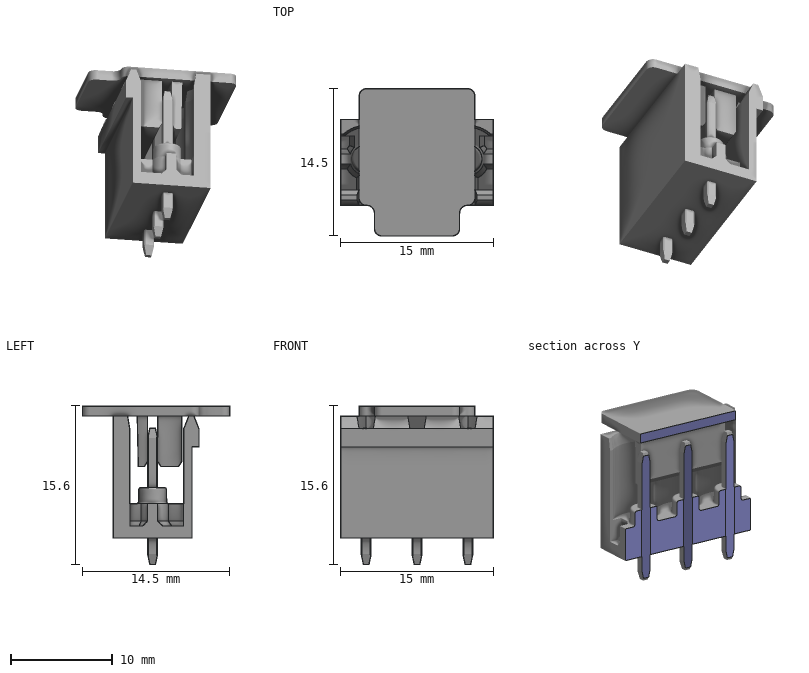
import cadquery as cq


PIN_COUNT = 3
PITCH = 5.0
PIN_XS = [(i - (PIN_COUNT - 1) / 2) * PITCH for i in range(PIN_COUNT)]

PIN_WIDTH = 1.0
PIN_EDGE_CHAMFER = 0.11
PIN_TIP_WIDTH = 0.56
PIN_TIP_LENGTH = 1.01
PIN_BOTTOM = -2.59
PIN_TOP = 10.83

HOUSING_LENGTH = PIN_COUNT * PITCH
HALF_LENGTH = HOUSING_LENGTH / 2
HOUSING_DEPTH = 7.79
HOUSING_HEIGHT = 12.0
BACK_Y = HOUSING_DEPTH / 2
FRONT_Y = -HOUSING_DEPTH / 2
FLOOR_Z = 1.2
BACK_INNER_Y = 2.25
FRONT_INNER_Y = -3.05

LEAD_IN_DEPTH = 1.23
LEAD_IN_Z = HOUSING_HEIGHT - LEAD_IN_DEPTH
BACK_LEAD_IN = 0.2
FRONT_LEAD_IN = 0.48

LIP_Y = -4.56
LIP_SLOPE = 0.5
LIP_BOTTOM = 8.99

RAISED_Z = 3.4
FOOT = 0.48
BACK_POCKET_LENGTH = 1.34
FRONT_POCKET_LENGTH = 2.01
RIB_WIDTH = 1.0
PEDESTAL_RADIUS = 1.62

COLLAR_TOP = 4.99
COLLAR_LOWER_RADIUS = 1.4
COLLAR_UPPER_RADIUS = 1.37
COLLAR_FLARE_RADIUS = 0.19
COLLAR_TOP_FILLET = 0.23

RECESS_RADIUS = 3.1
NOTCH_TOP_WIDTH = 1.8
NOTCH_BOTTOM_WIDTH = 1.4

CAP_WIDTH = 11.39
CAP_LENGTH = 14.5
CAP_THICKNESS = 1.0
CAP_BACK_Y = 6.92
CAP_FRONT_Y = CAP_BACK_Y - CAP_LENGTH
CAP_SHOULDER_Y = -4.58
CAP_RADIUS = 0.75

LEG_LENGTH = (PIN_COUNT - 1) * PITCH
LEG_BOTTOM = 7.04
LEG_INNER_Y = PIN_WIDTH / 2
BACK_LEG_TOP_Y = 1.53
BACK_LEG_BOTTOM_Y = 1.42
FRONT_LEG_Y = -2.87
LEG_CHAMFER_WIDTH = 0.31
LEG_CHAMFER_HEIGHT = 0.5


def prism_along_x(points, length):
    """Extrude a (Y, Z) outline along X, centred on X = 0."""
    return cq.Workplane("YZ").polyline(points).close().extrude(length / 2, both=True)


def make_pin(x):
    """One pin with chamfered edges, tapered at both ends."""
    length = PIN_TOP - PIN_BOTTOM
    bar = (
        cq.Workplane("XY")
        .workplane(offset=PIN_BOTTOM)
        .rect(PIN_WIDTH, PIN_WIDTH)
        .extrude(length)
        .edges("|Z")
        .chamfer(PIN_EDGE_CHAMFER)
    )
    half = PIN_WIDTH / 2
    tip_half = PIN_TIP_WIDTH / 2
    side = [
        (-tip_half, PIN_BOTTOM),
        (tip_half, PIN_BOTTOM),
        (half, PIN_BOTTOM + PIN_TIP_LENGTH),
        (half, PIN_TOP - PIN_TIP_LENGTH),
        (tip_half, PIN_TOP),
        (-tip_half, PIN_TOP),
        (-half, PIN_TOP - PIN_TIP_LENGTH),
        (-half, PIN_BOTTOM + PIN_TIP_LENGTH),
    ]
    for plane in ("XZ", "YZ"):
        taper = cq.Workplane(plane).polyline(side).close().extrude(PIN_WIDTH, both=True)
        bar = bar.intersect(taper)
    return bar.translate((x, 0, 0))


def make_trough():
    """U-shaped housing with the latch lip, constant along X."""
    return prism_along_x(
        [
            (BACK_Y, 0),
            (BACK_Y, HOUSING_HEIGHT),
            (BACK_INNER_Y + BACK_LEAD_IN, HOUSING_HEIGHT),
            (BACK_INNER_Y, LEAD_IN_Z),
            (BACK_INNER_Y, FLOOR_Z),
            (FRONT_INNER_Y, FLOOR_Z),
            (FRONT_INNER_Y, LEAD_IN_Z),
            (FRONT_INNER_Y - FRONT_LEAD_IN, HOUSING_HEIGHT),
            (LIP_Y + LIP_SLOPE, HOUSING_HEIGHT),
            (LIP_Y, LEAD_IN_Z),
            (LIP_Y, LIP_BOTTOM),
            (FRONT_Y, LIP_BOTTOM),
            (FRONT_Y, 0),
        ],
        HOUSING_LENGTH,
    )


def footed_profile(half_width):
    """Upright section of the raised floor, spreading at 45 degrees into a foot."""
    return [
        (-half_width, RAISED_Z),
        (-half_width, FLOOR_Z + FOOT),
        (-half_width - FOOT, FLOOR_Z),
        (half_width + FOOT, FLOOR_Z),
        (half_width, FLOOR_Z + FOOT),
        (half_width, RAISED_Z),
    ]


def make_floor_block(pocket_length, wall_y):
    """Raised floor from the pin row to a side wall, stopping short of the open ends."""
    profile = footed_profile(HALF_LENGTH - pocket_length)
    return cq.Workplane("XZ").polyline(profile).close().extrude(-wall_y)


def make_rib():
    """Rib along the pin row that reaches both open ends."""
    return prism_along_x(footed_profile(RIB_WIDTH / 2), HOUSING_LENGTH)


def make_pedestal(x):
    """Round part of the raised floor below a pin's collar."""
    profile = [
        (0, FLOOR_Z),
        (PEDESTAL_RADIUS + FOOT, FLOOR_Z),
        (PEDESTAL_RADIUS, FLOOR_Z + FOOT),
        (PEDESTAL_RADIUS, RAISED_Z),
        (0, RAISED_Z),
    ]
    pedestal = cq.Workplane("XZ").polyline(profile).close().revolve(360, (0, 0), (0, 1))
    return pedestal.translate((x, 0, 0))


def make_collar(x):
    """Collar round a pin: flared base, slight draft and rounded top edge."""
    collar = (
        cq.Workplane("XZ")
        .moveTo(0, RAISED_Z)
        .lineTo(COLLAR_LOWER_RADIUS + COLLAR_FLARE_RADIUS, RAISED_Z)
        .radiusArc((COLLAR_LOWER_RADIUS, RAISED_Z + COLLAR_FLARE_RADIUS), COLLAR_FLARE_RADIUS)
        .lineTo(COLLAR_UPPER_RADIUS, COLLAR_TOP)
        .lineTo(0, COLLAR_TOP)
        .close()
        .revolve(360, (0, 0), (0, 1))
        .faces(">Z")
        .edges()
        .fillet(COLLAR_TOP_FILLET)
    )
    return collar.translate((x, 0, 0))


def make_recess(x):
    """Half-round cutter for the back wall, widening along the lead-in."""
    profile = [
        (0, RAISED_Z),
        (RECESS_RADIUS, RAISED_Z),
        (RECESS_RADIUS, LEAD_IN_Z),
        (RECESS_RADIUS + BACK_LEAD_IN, HOUSING_HEIGHT),
        (0, HOUSING_HEIGHT),
    ]
    cone = cq.Workplane("XZ").polyline(profile).close().revolve(360, (0, 0), (0, 1))
    back_half = cq.Workplane("XY").box(
        HOUSING_LENGTH, BACK_Y, HOUSING_HEIGHT, centered=(True, False, False)
    )
    return cone.intersect(back_half).translate((x, 0, 0))


def make_notch(x):
    """Tapered cutter through the top of the front wall."""
    profile = [
        (x - NOTCH_BOTTOM_WIDTH / 2, LEAD_IN_Z),
        (x + NOTCH_BOTTOM_WIDTH / 2, LEAD_IN_Z),
        (x + NOTCH_TOP_WIDTH / 2, HOUSING_HEIGHT),
        (x - NOTCH_TOP_WIDTH / 2, HOUSING_HEIGHT),
    ]
    return cq.Workplane("XZ").polyline(profile).close().extrude(-LIP_Y)


def make_housing(pins):
    """Housing with its raised floor, collars, recesses, notches and pin holes."""
    housing = make_trough()
    housing = housing.union(make_floor_block(BACK_POCKET_LENGTH, BACK_INNER_Y))
    housing = housing.union(make_floor_block(FRONT_POCKET_LENGTH, FRONT_INNER_Y))
    housing = housing.union(make_rib())
    for x in PIN_XS:
        housing = housing.union(make_pedestal(x))
        housing = housing.cut(make_recess(x))
        housing = housing.cut(make_notch(x))
    for x, pin in zip(PIN_XS, pins):
        housing = housing.union(make_collar(x))
        housing = housing.cut(pin)
    return housing


def make_cap_plate():
    """Flat plate with a narrower front tongue and every corner rounded."""
    half_width = CAP_WIDTH / 2
    half_tongue = half_width - 2 * CAP_RADIUS
    radius = CAP_RADIUS
    return (
        cq.Workplane("XY")
        .workplane(offset=HOUSING_HEIGHT)
        .moveTo(0, CAP_BACK_Y)
        .lineTo(half_width - radius, CAP_BACK_Y)
        .tangentArcPoint((half_width, CAP_BACK_Y - radius), relative=False)
        .lineTo(half_width, CAP_SHOULDER_Y + radius)
        .tangentArcPoint((half_width - radius, CAP_SHOULDER_Y), relative=False)
        .tangentArcPoint((half_tongue, CAP_SHOULDER_Y - radius), relative=False)
        .lineTo(half_tongue, CAP_FRONT_Y + radius)
        .tangentArcPoint((half_tongue - radius, CAP_FRONT_Y), relative=False)
        .lineTo(0, CAP_FRONT_Y)
        .mirrorY()
        .extrude(CAP_THICKNESS)
    )


def make_back_leg():
    """Leg behind the pin row, with a drafted rear face."""
    return prism_along_x(
        [
            (LEG_INNER_Y, HOUSING_HEIGHT),
            (LEG_INNER_Y, LEG_BOTTOM + LEG_CHAMFER_HEIGHT),
            (LEG_INNER_Y + LEG_CHAMFER_WIDTH, LEG_BOTTOM),
            (BACK_LEG_BOTTOM_Y, LEG_BOTTOM),
            (BACK_LEG_TOP_Y, HOUSING_HEIGHT),
        ],
        LEG_LENGTH,
    )


def make_front_leg():
    """Leg in front of the pin row, chamfered on both lower edges."""
    return prism_along_x(
        [
            (-LEG_INNER_Y, HOUSING_HEIGHT),
            (-LEG_INNER_Y, LEG_BOTTOM + LEG_CHAMFER_HEIGHT),
            (-LEG_INNER_Y - LEG_CHAMFER_WIDTH, LEG_BOTTOM),
            (FRONT_LEG_Y + LEG_CHAMFER_WIDTH, LEG_BOTTOM),
            (FRONT_LEG_Y, LEG_BOTTOM + LEG_CHAMFER_HEIGHT),
            (FRONT_LEG_Y, HOUSING_HEIGHT),
        ],
        LEG_LENGTH,
    )


def make_cap():
    """Pick-up cap: plate and two legs in one piece."""
    return make_cap_plate().union(make_back_leg()).union(make_front_leg())


pins = [make_pin(x) for x in PIN_XS]
housing = make_housing(pins)
cap = make_cap()

result = cq.Compound.makeCompound([housing.val(), *[pin.val() for pin in pins], cap.val()])